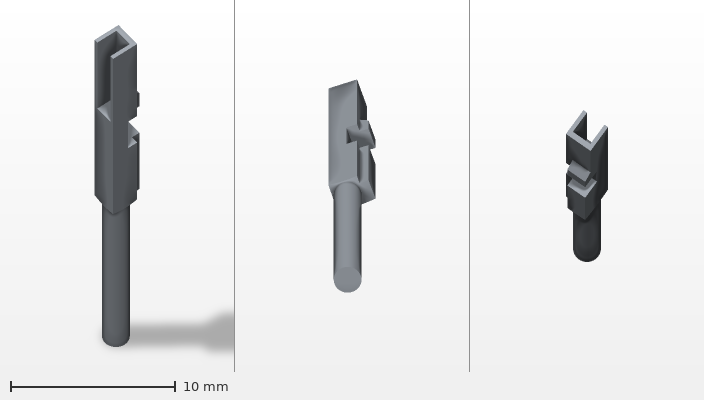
import cadquery as cq
import math

total_length = 29.6
body_width = 1.85
body_depth = 1.85
pin_diameter = 1.7
pin_length = 13.8
shoulder_angle = 20.0

rib_width = 1.33
rib_height = 0.55
rib_slope_top = 24.25
rib_slope_bottom = 23.68

notch_depth = 1.25
notch_bottom = 19.68
notch_top = 22.35

side_wall = 0.27
rear_wall = 0.35
channel_floor = 22.97

left = -body_width / 2
front = -body_depth / 2
rear = front + body_depth
rib_rear = rear + rib_height
pin_radius = pin_diameter / 2


def make_box(x_min, x_max, y_min, y_max, z_min, z_max):
    """Box between the given limits."""
    size = (x_max - x_min, y_max - y_min, z_max - z_min)
    return cq.Workplane("XY").box(*size, centered=False).translate((x_min, y_min, z_min))


def make_rib():
    """Rear rib with a sloped upper end, extruded along X."""
    outline = [
        (front, pin_length),
        (rib_rear, pin_length),
        (rib_rear, rib_slope_bottom),
        (rear, rib_slope_top),
        (front, rib_slope_top),
    ]
    return cq.Workplane("YZ", origin=(left, 0, 0)).polyline(outline).close().extrude(rib_width)


def make_shoulder_envelope():
    """Solid of revolution that widens upward from the pin and bounds the body."""
    envelope_radius = 2 * body_width
    cone_top = pin_length + (envelope_radius - pin_radius) * math.tan(math.radians(shoulder_angle))
    profile = [
        (0, pin_length),
        (pin_radius, pin_length),
        (envelope_radius, cone_top),
        (envelope_radius, total_length),
        (0, total_length),
    ]
    return cq.Workplane("XZ").polyline(profile).close().revolve(360, (0, 0, 0), (0, 1, 0))


body = make_box(left, -left, front, rear, pin_length, total_length)
body = body.union(make_rib()).intersect(make_shoulder_envelope())

notch = make_box(left, -left, rib_rear - notch_depth, rib_rear, notch_bottom, notch_top)
channel = make_box(left + side_wall, -left - side_wall, front, rear - rear_wall, channel_floor, total_length)
body = body.cut(notch).cut(channel)

pin = cq.Workplane("XY").circle(pin_radius).extrude(pin_length)
result = body.union(pin)